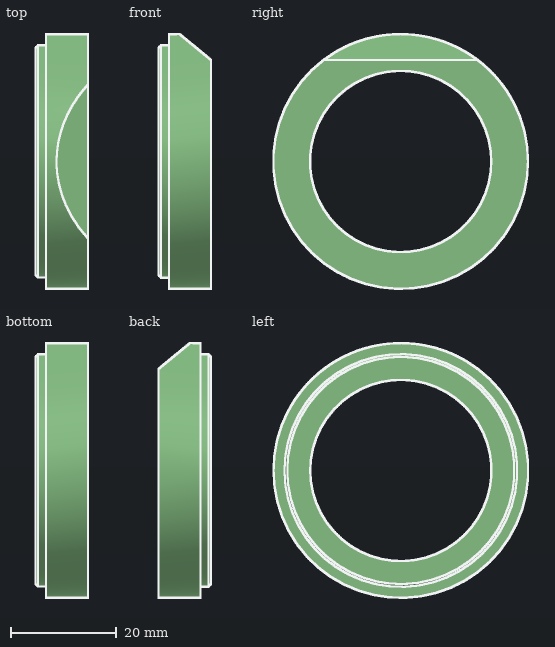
import cadquery as cq

total_length = 10.0
outer_diameter = 48.3
bore_diameter = 34.3

spigot_diameter = 44.1
spigot_length = 2.0
spigot_chamfer = 0.55

flat_length = 6.0
flat_drop = 4.95


def cylinder_along_x(diameter, start, length):
    return cq.Workplane("YZ").workplane(offset=start).circle(diameter / 2).extrude(length)


def sloped_flat_cutter():
    top = outer_diameter / 2
    return (
        cq.Workplane("XZ")
        .moveTo(total_length - flat_length, top)
        .lineTo(total_length, top)
        .lineTo(total_length, top - flat_drop)
        .close()
        .extrude(outer_diameter / 2, both=True)
    )


spigot = cylinder_along_x(spigot_diameter, 0, spigot_length).faces("<X").chamfer(spigot_chamfer)
body = cylinder_along_x(outer_diameter, spigot_length, total_length - spigot_length)
bore = cylinder_along_x(bore_diameter, 0, total_length)

result = spigot.union(body).cut(bore).cut(sloped_flat_cutter())